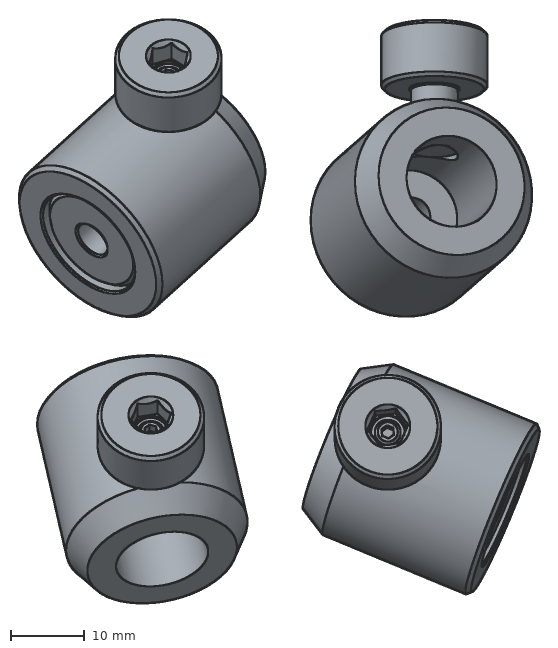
import cadquery as cq
import math


housing_radius = 25.0 / 2
housing_length = 25.4
base_chamfer = 0.6
taper_length = 3.81
taper_angle = math.radians(30)
taper_end_radius = housing_radius - taper_length * math.tan(taper_angle)
post_bore_radius = 12.7 / 2

insert_radius = 16.0 / 2
insert_thickness = 6.0
insert_sink = 0.8
insert_edge_chamfer = 0.75
insert_hole_radius = 5.1 / 2
insert_hole_chamfer = 0.25
recess_chamfer = 0.25
recess_depth = insert_sink + insert_thickness

screw_y = 17.27
head_top_z = 22.91
head_radius = 14.4 / 2
head_height = 7.87
head_chamfer = 0.5
head_bottom_z = head_top_z - head_height
shank_radius = 6.35 / 2
shank_tip_z = post_bore_radius
neck_flare_width = 0.25
neck_flare_height = 0.2

socket_flats = 4.7625
socket_depth = 3.55
socket_floor_z = head_top_z - socket_depth
countersink_radius = 6.05 / 2
countersink_depth = 0.75
countersink_end_radius = socket_flats / 2
relief_radius = 4.56 / 2
relief_depth = 0.5
relief_floor_z = socket_floor_z - relief_depth

set_screw_radius = 3.5 / 2
set_screw_length = 3.2
set_screw_chamfer = 0.4
set_screw_top_z = relief_floor_z + set_screw_chamfer
set_screw_bottom_z = set_screw_top_z - set_screw_length
key_flats = 1.5875
key_depth = 1.5
key_turn = 30


def turned_about_y(profile):
    """Solid of revolution about the Y axis from (radius, y) points."""
    return cq.Workplane("XY").polyline(profile).close().revolve(360, (0, 0, 0), (0, 1, 0))


def turned_about_screw_axis(profile):
    """Solid of revolution about the thumbscrew's axis from (radius, z) points."""
    turned = cq.Workplane("XZ").polyline(profile).close().revolve(360, (0, 0, 0), (0, 1, 0))
    return turned.translate((0, screw_y, 0))


def screw_cylinder(radius, bottom_z, top_z):
    """Cylinder on the thumbscrew's axis."""
    cylinder = cq.Workplane("XY").circle(radius).extrude(top_z - bottom_z)
    return cylinder.translate((0, screw_y, bottom_z))


def hexagon_prism(flats, top_z, depth):
    """Hexagonal prism on the thumbscrew's axis, with two corners on its X axis."""
    corner_diameter = flats / math.cos(math.pi / 6)
    prism = cq.Workplane("XY").polygon(6, corner_diameter).extrude(depth)
    return prism.translate((0, screw_y, top_z - depth))


def make_housing():
    body = turned_about_y([
        (post_bore_radius, recess_depth),
        (insert_radius, recess_depth),
        (insert_radius, recess_chamfer),
        (insert_radius + recess_chamfer, 0),
        (housing_radius - base_chamfer, 0),
        (housing_radius, base_chamfer),
        (housing_radius, housing_length - taper_length),
        (taper_end_radius, housing_length),
        (post_bore_radius, housing_length),
    ])
    return body.cut(screw_cylinder(shank_radius, 0, housing_radius))


def make_insert():
    return turned_about_y([
        (insert_hole_radius + insert_hole_chamfer, insert_sink),
        (insert_radius - insert_edge_chamfer, insert_sink),
        (insert_radius, insert_sink + insert_edge_chamfer),
        (insert_radius, recess_depth),
        (insert_hole_radius, recess_depth),
        (insert_hole_radius, insert_sink + insert_hole_chamfer),
    ])


def make_thumbscrew():
    blank = turned_about_screw_axis([
        (0, shank_tip_z),
        (shank_radius, shank_tip_z),
        (shank_radius, head_bottom_z - neck_flare_height),
        (shank_radius + neck_flare_width, head_bottom_z),
        (head_radius - head_chamfer, head_bottom_z),
        (head_radius, head_bottom_z + head_chamfer),
        (head_radius, head_top_z - head_chamfer),
        (head_radius - head_chamfer, head_top_z),
        (0, head_top_z),
    ])
    countersink = turned_about_screw_axis([
        (0, head_top_z),
        (countersink_radius, head_top_z),
        (countersink_end_radius, head_top_z - countersink_depth),
        (0, head_top_z - countersink_depth),
    ])
    socket = hexagon_prism(socket_flats, head_top_z, socket_depth)
    relief = screw_cylinder(relief_radius, relief_floor_z, socket_floor_z)
    set_screw_hole = screw_cylinder(set_screw_radius, set_screw_bottom_z, relief_floor_z)
    return blank.cut(countersink).cut(socket).cut(relief).cut(set_screw_hole)


def make_set_screw():
    shaft = screw_cylinder(set_screw_radius, set_screw_bottom_z, set_screw_top_z)
    shaft = shaft.faces(">Z").chamfer(set_screw_chamfer)
    key_socket = hexagon_prism(key_flats, set_screw_top_z, key_depth)
    screw_axis = ((0, screw_y, 0), (0, screw_y, 1))
    return shaft.cut(key_socket.rotate(*screw_axis, key_turn))


housing = make_housing()
insert = make_insert()
thumbscrew = make_thumbscrew()
set_screw = make_set_screw()

result = cq.Compound.makeCompound([
    housing.val(),
    insert.val(),
    thumbscrew.val(),
    set_screw.val(),
])